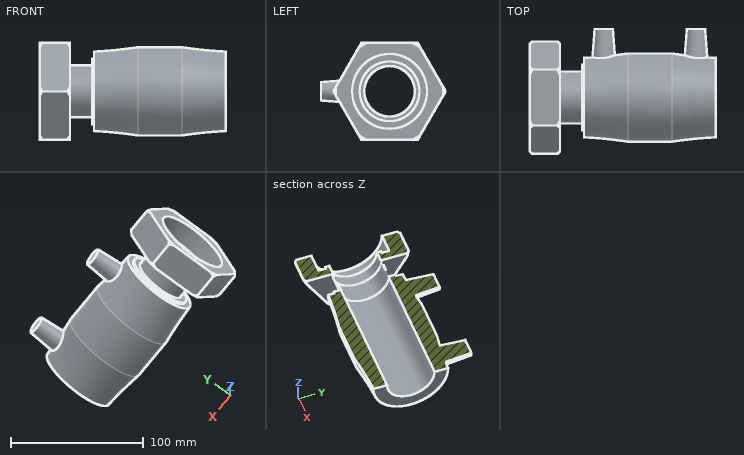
import cadquery as cq
import math

total_length = 141.0
bore_diameter = 38.0

nut_across_flats = 73.6
nut_length = 23.1
nut_bore_diameter = 56.7
nut_corner_chamfer = 2.0
nut_floor_depth = 15.8
seat_diameter = 45.3
seat_height = 1.5

neck_diameter = 39.6
collar_diameter = 50.0
collar_length = 1.4

sleeve_start = 41.0
sleeve_middle_diameter = 67.0
sleeve_end_diameter = 60.3
flare_sagitta = 0.4
sleeve_third = (total_length - sleeve_start) / 3

pin_tip_y = 52.0
pin_tip_diameter = 14.1
pin_root_diameter = 17.8
pin_root_y = 28.2
pin_end_distance = 15.1

nut_corner_radius = nut_across_flats / 2 / math.cos(math.radians(30))


def cylinder(diameter, start, end):
    """Cylinder on the X axis between two X positions."""
    return cq.Workplane("YZ", origin=(start, 0, 0)).circle(diameter / 2).extrude(end - start)


def hex_prism(corner_radius):
    """Hexagonal prism along X with two corners on the Y axis."""
    return cq.Workplane("YZ").polygon(6, 2 * corner_radius).extrude(nut_length)


def make_nut():
    """Hexagonal nut with a flat chamfer at both ends of each corner and a raised seat inside."""
    guard = hex_prism(nut_corner_radius / math.cos(math.radians(30)))
    guard = guard.faces("<X or >X").chamfer(nut_corner_chamfer)
    guard = guard.rotate((0, 0, 0), (1, 0, 0), 30)
    nut = hex_prism(nut_corner_radius).intersect(guard)
    nut = nut.cut(cylinder(nut_bore_diameter, 0, nut_floor_depth))
    return nut.union(cylinder(seat_diameter, nut_floor_depth - seat_height, nut_length))


def make_sleeve():
    """Revolved barrel whose end thirds are shallow concave flares."""
    end_radius = sleeve_end_diameter / 2
    middle_radius = sleeve_middle_diameter / 2
    middle_start = sleeve_start + sleeve_third
    middle_end = middle_start + sleeve_third
    flare_middle_radius = (end_radius + middle_radius) / 2 - flare_sagitta
    profile = (
        cq.Workplane("XY")
        .moveTo(sleeve_start, 0)
        .lineTo(sleeve_start, end_radius)
        .threePointArc((sleeve_start + sleeve_third / 2, flare_middle_radius), (middle_start, middle_radius))
        .lineTo(middle_end, middle_radius)
        .threePointArc((middle_end + sleeve_third / 2, flare_middle_radius), (total_length, end_radius))
        .lineTo(total_length, 0)
        .close()
    )
    return profile.revolve(360, (0, 0, 0), (1, 0, 0))


def make_pin(x):
    """Cone frustum rising along +Y from inside the sleeve wall."""
    frustum = cq.Solid.makeCone(
        pin_root_diameter / 2,
        pin_tip_diameter / 2,
        pin_tip_y - pin_root_y,
        pnt=cq.Vector(x, pin_root_y, 0),
        dir=cq.Vector(0, 1, 0),
    )
    return cq.Workplane(frustum)


body = make_nut()
body = body.union(cylinder(neck_diameter, nut_length, sleeve_start))
body = body.union(cylinder(collar_diameter, sleeve_start - collar_length, sleeve_start))
body = body.union(make_sleeve())
for pin_x in (sleeve_start + pin_end_distance, total_length - pin_end_distance):
    body = body.union(make_pin(pin_x))

result = body.cut(cylinder(bore_diameter, 0, total_length))